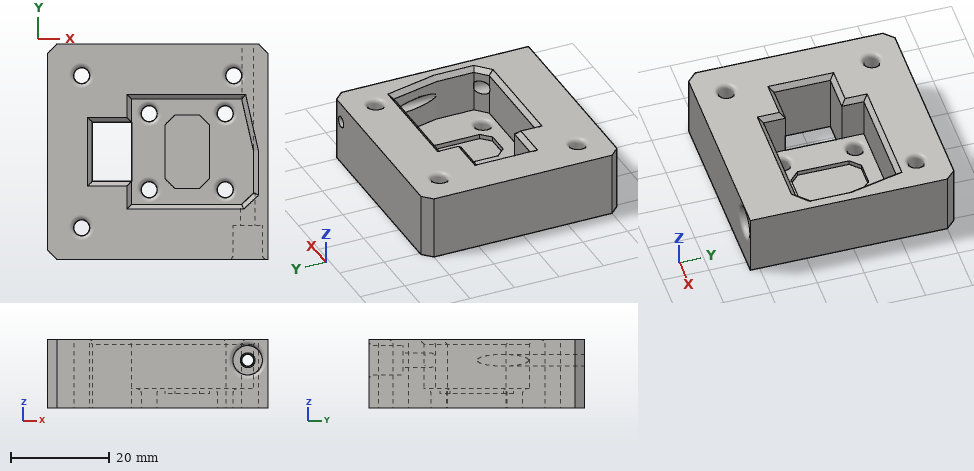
import cadquery as cq
import math

LENGTH = 45.0
WIDTH = 44.0
HEIGHT = 14.0
CORNER_CUT = 2.0

SCREW_DIAMETER = 3.2
MOUTH_RADIUS = 1.0
BLOCK_SCREW_SPACING = 31.0
FLOOR_SCREW_SPACING = 15.5

POCKET_CENTER_X = 6.0
POCKET_LEFT = -5.3
POCKET_RIGHT = 19.55
POCKET_SHOULDER_X = 17.1
POCKET_HALF_WIDTH = 10.7
POCKET_CORNER_HEIGHT = 2.3
POCKET_DEPTH = 10.0
RIM_BEVEL = 1.0

WINDOW_LEFT = -13.3
WINDOW_HALF_WIDTH = 6.0

RECESS_LENGTH = 9.0
RECESS_WIDTH = 15.0
RECESS_CORNER_CUT = 2.0
RECESS_DEPTH = 1.0

SIDE_HOLE_X = 18.33
SIDE_HOLE_Z = 9.75
SIDE_BORE_DIAMETER = 6.0
SIDE_BORE_DEPTH = 7.0
SIDE_RELIEF_DIAMETER = 3.0
SIDE_PASSAGE_DIAMETER = 2.4

FLOOR_Z = HEIGHT - POCKET_DEPTH


def make_block():
    """Block with three cut corners; the +X -Y corner stays square."""
    block = cq.Workplane("XY").box(LENGTH, WIDTH, HEIGHT, centered=(True, True, False))
    return block.edges("|Z and (<X or >Y)").chamfer(CORNER_CUT)


def make_pocket():
    """Pocket and window as one opening; only the window goes below the floor."""
    outline = [
        (WINDOW_LEFT, -WINDOW_HALF_WIDTH),
        (POCKET_LEFT, -WINDOW_HALF_WIDTH),
        (POCKET_LEFT, -POCKET_HALF_WIDTH),
        (POCKET_SHOULDER_X, -POCKET_HALF_WIDTH),
        (POCKET_RIGHT, POCKET_CORNER_HEIGHT - POCKET_HALF_WIDTH),
        (POCKET_RIGHT, 0),
        (POCKET_SHOULDER_X, POCKET_HALF_WIDTH),
        (POCKET_LEFT, POCKET_HALF_WIDTH),
        (POCKET_LEFT, WINDOW_HALF_WIDTH),
        (WINDOW_LEFT, WINDOW_HALF_WIDTH),
    ]
    opening = cq.Workplane("XY", origin=(0, 0, FLOOR_Z)).polyline(outline).close().extrude(POCKET_DEPTH)
    window = cq.Workplane("XY").box(
        POCKET_LEFT - WINDOW_LEFT, 2 * WINDOW_HALF_WIDTH, HEIGHT, centered=(False, True, False)
    )
    return opening.union(window.translate((WINDOW_LEFT, 0, 0)))


def bevel_rim(body):
    """Bevel the pocket rim, the only inner boundary of the top face before the holes are cut."""
    rim = body.faces(">Z").val().innerWires()[0]
    return body.newObject(rim.Edges()).chamfer(RIM_BEVEL)


def make_floor_recess():
    """Rectangular recess with cut corners, sunk into the pocket floor."""
    recess = cq.Workplane("XY").box(
        RECESS_LENGTH, RECESS_WIDTH, RECESS_DEPTH, centered=(True, True, False)
    )
    recess = recess.edges("|Z").chamfer(RECESS_CORNER_CUT)
    return recess.translate((POCKET_CENTER_X, 0, FLOOR_Z - RECESS_DEPTH))


def rounded_mouth_profile(hole_diameter, mouth_y):
    """Half section, from the Y axis, of a hole entering at mouth_y with a rounded edge."""
    radius = hole_diameter / 2
    arc_offset = MOUTH_RADIUS * (1 - math.sqrt(0.5))
    return (
        cq.Workplane("XY")
        .moveTo(0, mouth_y)
        .lineTo(radius + MOUTH_RADIUS, mouth_y)
        .threePointArc(
            (radius + arc_offset, mouth_y + arc_offset),
            (radius, mouth_y + MOUTH_RADIUS),
        )
    )


def revolve_about_y(profile):
    """Close a half section and revolve it about the Y axis."""
    return profile.close().revolve(360, (0, 0, 0), (0, 1, 0))


def make_screw_hole(x, y, top_z):
    """Through hole from top_z down to Z = 0, with a rounded mouth at the top."""
    profile = rounded_mouth_profile(SCREW_DIAMETER, 0).lineTo(SCREW_DIAMETER / 2, top_z).lineTo(0, top_z)
    hole = revolve_about_y(profile)
    return hole.rotate((0, 0, 0), (1, 0, 0), -90).translate((x, y, top_z))


def make_side_hole():
    """Stepped hole along Y: rounded mouth, bore, relief into the pocket corner, narrow passage."""
    front_y = -WIDTH / 2
    bore_end_y = front_y + SIDE_BORE_DEPTH
    relief_end_y = POCKET_CORNER_HEIGHT - POCKET_HALF_WIDTH
    profile = (
        rounded_mouth_profile(SIDE_BORE_DIAMETER, front_y)
        .lineTo(SIDE_BORE_DIAMETER / 2, bore_end_y)
        .lineTo(SIDE_RELIEF_DIAMETER / 2, bore_end_y)
        .lineTo(SIDE_RELIEF_DIAMETER / 2, relief_end_y)
        .lineTo(SIDE_PASSAGE_DIAMETER / 2, relief_end_y)
        .lineTo(SIDE_PASSAGE_DIAMETER / 2, WIDTH / 2)
        .lineTo(0, WIDTH / 2)
    )
    return revolve_about_y(profile).translate((SIDE_HOLE_X, 0, SIDE_HOLE_Z))


result = make_block().cut(make_pocket())
result = bevel_rim(result)
result = result.cut(make_floor_recess())

block_reach = BLOCK_SCREW_SPACING / 2
for x, y in [(-block_reach, -block_reach), (-block_reach, block_reach), (block_reach, block_reach)]:
    result = result.cut(make_screw_hole(x, y, HEIGHT))

floor_reach = FLOOR_SCREW_SPACING / 2
for side_x in (-1, 1):
    for side_y in (-1, 1):
        hole = make_screw_hole(POCKET_CENTER_X + side_x * floor_reach, side_y * floor_reach, FLOOR_Z)
        result = result.cut(hole)

result = result.cut(make_side_hole())